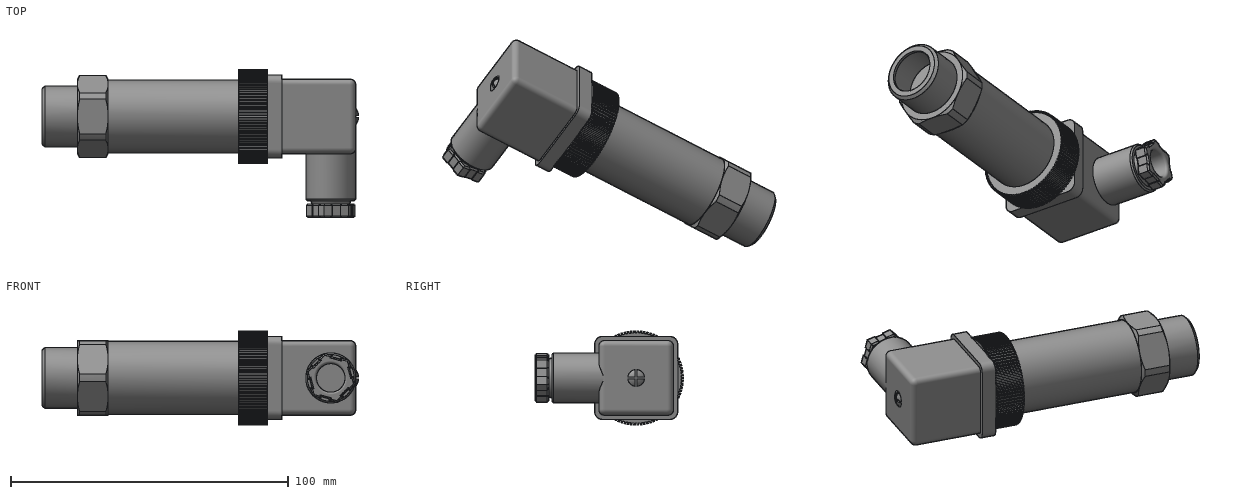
import cadquery as cq
import math

HEX_START = 12.8
HEX_END = 23.9
RING_START = 70.9
RING_END = 81.3
FLANGE_END = 86.6
BOX_END = 113.2
OVERALL_LENGTH = 114.2

THREAD_DIAMETER = 22.0
THREAD_CHAMFER = 1.0
PORT_DIAMETER = 16.0
PORT_DEPTH = HEX_START
PORT_LIP = 1.0
CHAMBER_DIAMETER = 19.1
HEX_FLATS = 27.0
HEX_CORNER_DIAMETER = 29.7
HEX_CHAMFER_ANGLE = 30.0
HEX_HALF_SECTOR = 30.0
BARREL_DIAMETER = 26.5

RING_DIAMETER = 34.0
TOOTH_COUNT = 90
TOOTH_HEIGHT = 0.7
GROOVE_WIDTH = 0.5
FIRST_GROOVE = 0.5

FLANGE_SIDE = 30.0
FLANGE_CORNER_RADIUS = 3.0
BOX_SIDE = 27.0
BOX_EDGE_RADIUS = 2.0
OUTLET_DIAMETER = 18.0
OUTLET_X = BOX_END - OUTLET_DIAMETER / 2
OUTLET_CHAMFER = 0.6
OUTLET_END = 30.4
CABLE_HOLE_DIAMETER = 10.3
SCREW_HEAD_DIAMETER = 6.0
SCREW_HEAD_HEIGHT = OVERALL_LENGTH - BOX_END
SCREW_SLOT_WIDTH = 0.7

SHANK_START = 22.8
NUT_START = 31.5
NUT_END = 36.4
NUT_CORNER_DIAMETER = 18.3
NUT_TURN = -15.0
NUT_EDGE_CHAMFER = 0.6
NUT_RECESS_WIDTH = 3.1
NUT_RECESS_DEPTH = 0.5
NECK_START_DIAMETER = 14.6
NECK_END_DIAMETER = 13.6
MOUTH_RADIUS = 0.9


def x_cylinder(diameter, start, end):
    return cq.Workplane("YZ", origin=(start, 0, 0)).circle(diameter / 2).extrude(end - start)


def outlet_plane(distance):
    """Plane across the cable outlet, facing -Y, with its X axis along +X."""
    return cq.Workplane("XZ", origin=(OUTLET_X, -distance, 0))


def polar_point(radius, angle):
    return radius * math.cos(angle), radius * math.sin(angle)


def make_hex():
    """Hexagon with turned corners and a conical chamfer on both ends."""
    length = HEX_END - HEX_START
    corner_radius = HEX_CORNER_DIAMETER / 2
    face_radius = HEX_FLATS / 2
    chamfer = (corner_radius - face_radius) * math.tan(math.radians(HEX_CHAMFER_ANGLE))
    across_corners = HEX_FLATS / math.cos(math.radians(HEX_HALF_SECTOR))
    prism = cq.Workplane("YZ", origin=(HEX_START, 0, 0)).polygon(6, across_corners).extrude(length)
    turned = (
        cq.Workplane("XY")
        .moveTo(HEX_START, 0)
        .lineTo(HEX_START, face_radius)
        .lineTo(HEX_START + chamfer, corner_radius)
        .lineTo(HEX_END - chamfer, corner_radius)
        .lineTo(HEX_END, face_radius)
        .lineTo(HEX_END, 0)
        .close()
        .revolve(360, (0, 0, 0), (1, 0, 0))
    )
    return prism.intersect(turned)


def make_sensor():
    """Threaded end, hexagon and barrel, with a port that widens behind a lip."""
    thread = x_cylinder(THREAD_DIAMETER, 0, HEX_START).faces("<X").chamfer(THREAD_CHAMFER)
    barrel = x_cylinder(BARREL_DIAMETER, HEX_END, RING_END)
    port = x_cylinder(PORT_DIAMETER, 0, PORT_DEPTH)
    chamber = x_cylinder(CHAMBER_DIAMETER, PORT_LIP, PORT_DEPTH)
    return thread.union(make_hex()).union(barrel).cut(port).cut(chamber)


def make_ring():
    """Ring around the barrel with straight knurling: grooves as wide as the teeth."""
    pitch = 2 * math.pi / TOOTH_COUNT
    tip_radius = RING_DIAMETER / 2
    root_radius = tip_radius - TOOTH_HEIGHT
    groove_profile = (
        (tip_radius, -GROOVE_WIDTH / 2),
        (root_radius, -GROOVE_WIDTH / 2),
        (root_radius, GROOVE_WIDTH / 2),
        (tip_radius, GROOVE_WIDTH / 2),
    )
    outline = [
        polar_point(radius, (tooth + FIRST_GROOVE + share) * pitch)
        for tooth in range(TOOTH_COUNT)
        for radius, share in groove_profile
    ]
    return (
        cq.Workplane("YZ", origin=(RING_START, 0, 0))
        .polyline(outline)
        .close()
        .circle(BARREL_DIAMETER / 2)
        .extrude(RING_END - RING_START)
    )


def make_screw_head():
    """Domed head with a cross slot down to the face of the plug."""
    head_radius = SCREW_HEAD_DIAMETER / 2
    dome_radius = (head_radius**2 + SCREW_HEAD_HEIGHT**2) / (2 * SCREW_HEAD_HEIGHT)
    dome = (
        cq.Workplane("XY")
        .moveTo(BOX_END, 0)
        .lineTo(OVERALL_LENGTH, 0)
        .radiusArc((BOX_END, head_radius), -dome_radius)
        .close()
        .revolve(360, (0, 0, 0), (1, 0, 0))
    )
    face = cq.Workplane("YZ", origin=(BOX_END, 0, 0))
    for width, height in ((SCREW_SLOT_WIDTH, SCREW_HEAD_DIAMETER), (SCREW_HEAD_DIAMETER, SCREW_SLOT_WIDTH)):
        dome = dome.cut(face.rect(width, height).extrude(SCREW_HEAD_HEIGHT))
    return dome


def make_shank():
    """Part of the gland nut that sits inside the cable outlet."""
    return outlet_plane(SHANK_START).circle(NECK_START_DIAMETER / 2).extrude(OUTLET_END - SHANK_START)


def make_plug():
    """Square flange, box and cable outlet, with a recess for the shank of the gland nut."""
    flange = (
        cq.Workplane("YZ", origin=(RING_END, 0, 0))
        .rect(FLANGE_SIDE, FLANGE_SIDE)
        .extrude(FLANGE_END - RING_END)
        .edges("|X")
        .fillet(FLANGE_CORNER_RADIUS)
    )
    box = (
        cq.Workplane("YZ", origin=(FLANGE_END, 0, 0))
        .rect(BOX_SIDE, BOX_SIDE)
        .extrude(BOX_END - FLANGE_END)
        .edges("|X or >X")
        .fillet(BOX_EDGE_RADIUS)
    )
    outlet = (
        outlet_plane(0)
        .circle(OUTLET_DIAMETER / 2)
        .extrude(OUTLET_END)
        .faces("<Y")
        .chamfer(OUTLET_CHAMFER)
    )
    return flange.union(box).union(outlet).cut(make_shank()).union(make_screw_head())


def make_gland_nut():
    """Hexagonal nut with a shallow recess along each side, on a tapered neck and a shank."""
    length = NUT_END - NUT_START
    flat_distance = NUT_CORNER_DIAMETER / 2 * math.cos(math.radians(HEX_HALF_SECTOR))
    neck = (
        outlet_plane(OUTLET_END)
        .circle(NECK_START_DIAMETER / 2)
        .workplane(offset=NUT_START - OUTLET_END)
        .circle(NECK_END_DIAMETER / 2)
        .loft()
    )
    recesses = (
        outlet_plane(NUT_START)
        .polarArray(flat_distance, HEX_HALF_SECTOR, 360, 6)
        .rect(2 * NUT_RECESS_DEPTH, NUT_RECESS_WIDTH)
        .extrude(length)
    )
    head = (
        outlet_plane(NUT_START)
        .polygon(6, NUT_CORNER_DIAMETER)
        .extrude(length)
        .cut(recesses)
        .faces("<Y or >Y")
        .chamfer(NUT_EDGE_CHAMFER)
        .rotate((OUTLET_X, 0, 0), (OUTLET_X, -1, 0), NUT_TURN)
    )
    hole = outlet_plane(SHANK_START).circle(CABLE_HOLE_DIAMETER / 2).extrude(NUT_END - SHANK_START)
    nut = head.union(neck).union(make_shank()).cut(hole)
    return nut.faces("<Y").edges("%CIRCLE").fillet(MOUTH_RADIUS)


sensor = make_sensor()
ring = make_ring()
plug = make_plug()
gland_nut = make_gland_nut()

result = cq.Compound.makeCompound([sensor.val(), ring.val(), plug.val(), gland_nut.val()])